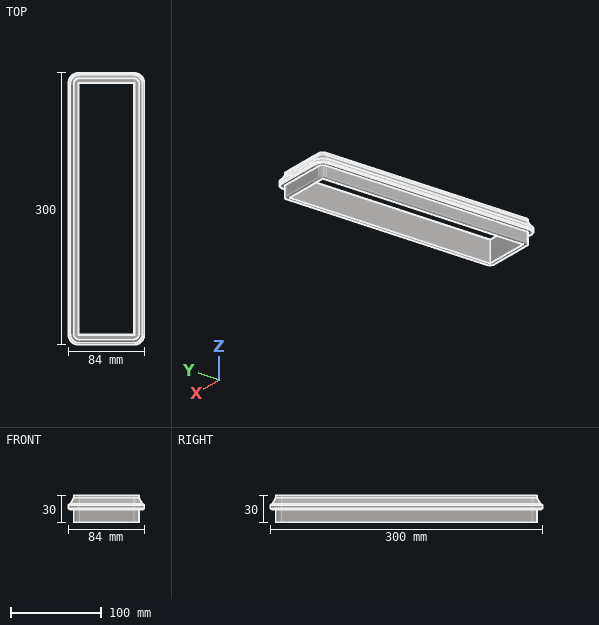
import cadquery as cq

length = 300.0
width = 84.0
height = 30.0
flange_overhang = 6.0
wall = 5.7
wall_corner_radius = 6.0

flange_bottom = 14.5
flange_top = 19.5
slope_bottom = 20.7
slope_top = 27.0

underside_root = 13.8

slope_foot = 3.5

lower_bevel_width = 1.2
lower_bevel_height = 1.5
upper_bevel_width = 0.3
upper_bevel_height = 0.5

opening_bevel = 1.0
edge_round = 0.5

wall_width = width - 2 * flange_overhang
wall_length = length - 2 * flange_overhang
core_inset = wall_corner_radius / 2


def outer_band():
    """Sweep the outer profile around the rounded rectangle of the wall."""
    path = (
        cq.Workplane("XY")
        .rect(wall_width, wall_length)
        .extrude(height)
        .edges("|Z")
        .fillet(wall_corner_radius)
        .faces("<Z")
        .wires()
    )
    face = wall_width / 2
    outer = width / 2
    inner = face - core_inset
    round_mid = 1 - 0.5 ** 0.5
    profile = (
        cq.Workplane("XZ")
        .moveTo(inner, 0)
        .lineTo(face - edge_round, 0)
        .threePointArc((face - edge_round * round_mid, edge_round * round_mid), (face, edge_round))
        .lineTo(face, underside_root)
        .lineTo(outer - lower_bevel_width, flange_bottom)
        .lineTo(outer, flange_bottom + lower_bevel_height)
        .lineTo(outer, flange_top - upper_bevel_height)
        .lineTo(outer - upper_bevel_width, flange_top)
        .lineTo(face + slope_foot, slope_bottom)
        .lineTo(face, slope_top)
        .lineTo(face, height - edge_round)
        .threePointArc(
            (face - edge_round * round_mid, height - edge_round * round_mid),
            (face - edge_round, height),
        )
        .lineTo(inner, height)
        .close()
    )
    return profile.sweep(path)


def core():
    """Block that fills the band, so that the opening can have sharp corners."""
    return cq.Workplane("XY").box(
        wall_width - 2 * core_inset, wall_length - 2 * core_inset, height, centered=(True, True, False)
    )


def opening():
    """Through opening, widened by a small bevel at the top rim."""
    open_width = wall_width - 2 * wall
    open_length = wall_length - 2 * wall
    hole = cq.Workplane("XY").box(open_width, open_length, height, centered=(True, True, False))
    bevel = (
        cq.Workplane("XY")
        .workplane(offset=height)
        .rect(open_width + 2 * opening_bevel, open_length + 2 * opening_bevel)
        .workplane(offset=-opening_bevel)
        .rect(open_width, open_length)
        .loft(ruled=True)
    )
    return hole.union(bevel)


result = outer_band().union(core()).cut(opening())